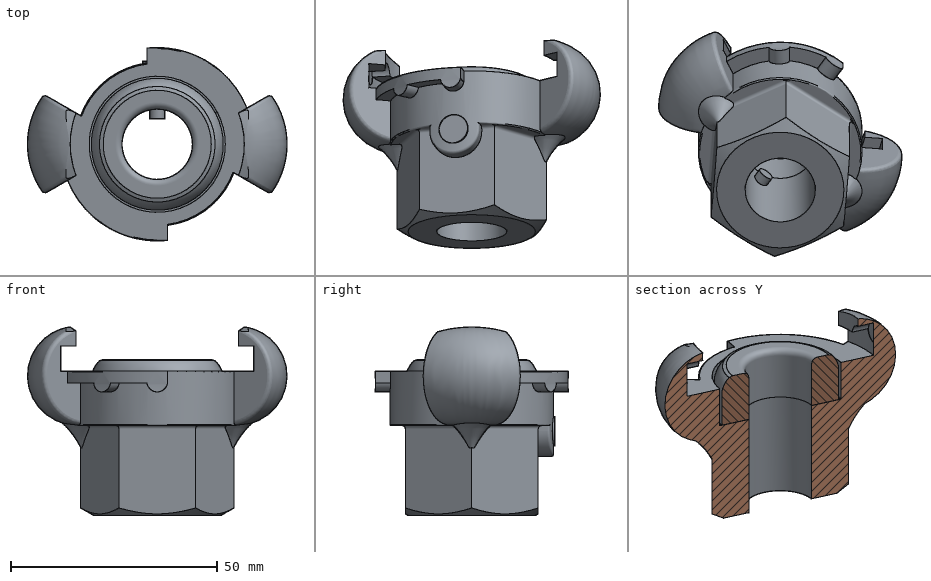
import cadquery as cq
import math


HEX_FLATS = 32.25
HEX_CHAMFER_BOTTOM_RADIUS = 15.45
HEX_CHAMFER_ANGLE = 30
BODY_RADIUS = 19.85
BODY_BOTTOM_Z = 21.8
BODY_EDGE_FILLET = 0.3
NECK_FILLET = 0.8
FLANGE_RADIUS = 23.465
FLANGE_TOP_Z = 35.0
FLANGE_THICKNESS = 2.9
FLANGE_END_ANGLE = 20
TOP_EDGE_FILLET = 0.25
FLANGE_STEP_X = 2.5
BORE_RADIUS = 17 / 2
SEAL_RECESS_RADIUS = 33.0 / 2
SEAL_FLOOR_Z = 25.2

BUMP_RADIUS = 2.5
BUMP_CENTRE_Z = 32.5
BUMP_ANGLES = (0, 35)

CLAW_REACH = 31.5
CLAW_PROFILE_RADIUS = 11.95
CLAW_CENTRE_Z = 33.9
CLAW_PLAN_RADIUS = 20.15
CLAW_HALF_ANGLE = 30
CLAW_APEX_X = 6.55
CLAW_EDGE_FILLET = 0.95
CLAW_TOP_Z = 45.7
CLAW_TOP_RADIUS = 30.25
HOOK_TIP_RADIUS = 21.1
SLOT_RADIUS = 25.3
SLOT_TOP_Z = 41.1
DETENT_GROOVE_RADIUS = 2.5

WEB_AXIS_X = 17.8
WEB_BOTTOM_Z = 16.05
WEB_BOTTOM_RADIUS = 0.55
WEB_WAIST_Z = 19.3
WEB_WAIST_RADIUS = 2.4
WEB_TOP_Z = 23.0
WEB_TOP_RADIUS = 5.9

BOSS_RADIUS = 6.2
BOSS_CENTRE_Z = 20.5
BOSS_EDGE_FILLET = 0.55
PLUG_RADIUS = 7.1 / 2
PLUG_OUTER_Y = 20.15
PLUG_INNER_Y = HEX_FLATS / 2
PIN_RADIUS = 3.7 / 2
PIN_TIP_Y = 6.2

SEAL_TOP_Z = 37.85
SEAL_RADIUS = 16.0
SEAL_SHOULDER_Z = 34.0
SEAL_CROWN_RADIUS = 28.0 / 2
SEAL_CROWN_Z = 37.55
SEAL_FACE_RADIUS = 13.1
SEAL_BORE_FILLET = 1.6


def z_cylinder(radius, bottom, top):
    return cq.Workplane("XY").workplane(offset=bottom).circle(radius).extrude(top - bottom)


def y_cylinder(radius, start_y, end_y):
    plane = cq.Plane(origin=(0, start_y, BOSS_CENTRE_Z), xDir=(1, 0, 0), normal=(0, 1, 0))
    return cq.Workplane(plane).circle(radius).extrude(end_y - start_y)


def half_turn(shape):
    return shape.rotate((0, 0, 0), (0, 0, 1), 180)


def make_hexagon():
    """Hexagon chamfered at the bottom; each flat flares out in a fillet below the body."""
    half = HEX_FLATS / 2
    fillet_z = BODY_BOTTOM_Z - NECK_FILLET
    slab = (
        cq.Workplane("YZ")
        .moveTo(half, 0)
        .lineTo(half, fillet_z)
        .radiusArc((half + NECK_FILLET, BODY_BOTTOM_Z), NECK_FILLET)
        .lineTo(-half - NECK_FILLET, BODY_BOTTOM_Z)
        .radiusArc((-half, fillet_z), NECK_FILLET)
        .lineTo(-half, 0)
        .close()
        .extrude(2 * HEX_FLATS, both=True)
    )
    rim_radius = BODY_RADIUS - 2 * BODY_EDGE_FILLET
    chamfer_height = (rim_radius - HEX_CHAMFER_BOTTOM_RADIUS) * math.tan(math.radians(HEX_CHAMFER_ANGLE))
    hexagon = (
        cq.Workplane("XZ")
        .polyline([
            (0, 0),
            (HEX_CHAMFER_BOTTOM_RADIUS, 0),
            (rim_radius, chamfer_height),
            (rim_radius, BODY_BOTTOM_Z),
            (0, BODY_BOTTOM_Z),
        ])
        .close()
        .revolve()
    )
    for angle in (0, 60, 120):
        hexagon = hexagon.intersect(slab.rotate((0, 0, 0), (0, 0, 1), angle))
    return hexagon


def make_body():
    body = z_cylinder(BODY_RADIUS, BODY_BOTTOM_Z, FLANGE_TOP_Z)
    body = body.faces("<Z").edges().fillet(BODY_EDGE_FILLET)
    body = body.faces(">Z").edges().fillet(TOP_EDGE_FILLET)
    return body.union(make_hexagon())


def make_flange_half():
    """Flange sector on the -Y side, from its step face round to the -X claw, with bumps."""
    end_angle = math.radians(180 + FLANGE_END_ANGLE)
    far = 2 * FLANGE_RADIUS
    sector = (
        cq.Workplane("XY")
        .polyline([
            (0, 0),
            (FLANGE_STEP_X, 0),
            (FLANGE_STEP_X, -far),
            (-far, -far),
            (far * math.cos(end_angle), far * math.sin(end_angle)),
        ])
        .close()
        .extrude(FLANGE_TOP_Z)
    )
    flange = z_cylinder(far, FLANGE_TOP_Z - FLANGE_THICKNESS, FLANGE_TOP_Z)
    for angle in BUMP_ANGLES:
        bump = (
            cq.Workplane("XZ", origin=(0, 0, BUMP_CENTRE_Z))
            .circle(BUMP_RADIUS)
            .extrude(far)
            .rotate((0, 0, 0), (0, 0, 1), -angle)
        )
        flange = flange.union(bump)
    outline = z_cylinder(FLANGE_RADIUS, 0, FLANGE_TOP_Z).cut(z_cylinder(BODY_RADIUS - 0.6, 0, FLANGE_TOP_Z))
    flange = flange.intersect(sector).intersect(outline)
    return flange.faces(">Z").edges("%CIRCLE").edges("<Y").fillet(TOP_EDGE_FILLET)


def make_claw():
    """Claw on the +X side: a barrel-shaped lug with a hook at its top."""
    axis_x = CLAW_REACH - CLAW_PLAN_RADIUS
    arc_centre = CLAW_REACH - CLAW_PROFILE_RADIUS - axis_x
    low = CLAW_CENTRE_Z - CLAW_PROFILE_RADIUS
    high = CLAW_CENTRE_Z + CLAW_PROFILE_RADIUS
    barrel = (
        cq.Workplane("XZ", origin=(axis_x, 0, 0))
        .moveTo(0, low)
        .lineTo(arc_centre, low)
        .threePointArc((CLAW_PLAN_RADIUS, CLAW_CENTRE_Z), (arc_centre, high))
        .lineTo(0, high)
        .close()
        .revolve(360, (0, 0, 0), (0, 1, 0))
    )
    length = CLAW_REACH
    half_width = length * math.tan(math.radians(CLAW_HALF_ANGLE))
    wedge = (
        cq.Workplane("XY", origin=(CLAW_APEX_X, 0, 0))
        .polyline([(0, 0), (length, -half_width), (length, half_width)])
        .close()
        .extrude(2 * high)
    )
    claw = barrel.intersect(wedge)
    rounded = cq.selectors.BoxSelector((22.05, -18.9, 0), (37.8, 18.9, 63))
    claw = claw.edges(rounded).fillet(CLAW_EDGE_FILLET)

    cap = (
        cq.Workplane("YZ", origin=(0, 0, CLAW_TOP_Z - CLAW_TOP_RADIUS))
        .circle(CLAW_TOP_RADIUS)
        .extrude(2 * CLAW_REACH)
    )
    claw = claw.intersect(cap)
    claw = claw.cut(z_cylinder(BODY_RADIUS - 0.6, 0, FLANGE_TOP_Z))
    claw = claw.cut(z_cylinder(HOOK_TIP_RADIUS, FLANGE_TOP_Z, 2 * high))
    claw = claw.cut(z_cylinder(SLOT_RADIUS, FLANGE_TOP_Z, SLOT_TOP_Z))
    groove = (
        cq.Workplane("YZ", origin=(0, 0, SLOT_TOP_Z))
        .circle(DETENT_GROOVE_RADIUS)
        .extrude(SLOT_RADIUS)
    )
    return claw.cut(groove)


def make_web():
    return (
        cq.Workplane("XZ", origin=(WEB_AXIS_X, 0, 0))
        .moveTo(0, WEB_BOTTOM_Z)
        .lineTo(WEB_BOTTOM_RADIUS, WEB_BOTTOM_Z)
        .threePointArc((WEB_WAIST_RADIUS, WEB_WAIST_Z), (WEB_TOP_RADIUS, WEB_TOP_Z))
        .lineTo(0, WEB_TOP_Z)
        .close()
        .revolve(360, (0, 0, 0), (0, 1, 0))
    )


def make_boss():
    """Boss with a round lower end and straight sides, curved to the body radius outside."""
    bottom = BOSS_CENTRE_Z - BOSS_RADIUS
    root_y = BORE_RADIUS + 3.15
    stem = cq.Workplane("XY").box(
        2 * BOSS_RADIUS, BODY_RADIUS, BODY_RADIUS, centered=(True, False, False)
    ).translate((0, root_y, BOSS_CENTRE_Z))
    boss = y_cylinder(BOSS_RADIUS, root_y, root_y + BODY_RADIUS).union(stem)
    boss = boss.intersect(z_cylinder(BODY_RADIUS, bottom - 0.6, FLANGE_TOP_Z - FLANGE_THICKNESS))
    rim = boss.faces(">Y").edges("not >Z")
    return rim.fillet(BOSS_EDGE_FILLET)


def make_housing():
    housing = make_body()
    for side in (make_flange_half(), make_claw(), make_web()):
        housing = housing.union(side).union(half_turn(side))
    housing = housing.union(make_boss())
    housing = housing.cut(z_cylinder(BORE_RADIUS, 0, SEAL_FLOOR_Z))
    housing = housing.cut(z_cylinder(SEAL_RECESS_RADIUS, SEAL_FLOOR_Z, FLANGE_TOP_Z))
    housing = housing.cut(y_cylinder(PIN_RADIUS, 0, PLUG_INNER_Y))
    return housing.cut(y_cylinder(PLUG_RADIUS, PLUG_INNER_Y, PLUG_OUTER_Y))


def make_seal():
    return (
        cq.Workplane("XZ")
        .moveTo(BORE_RADIUS, SEAL_FLOOR_Z)
        .lineTo(SEAL_RADIUS, SEAL_FLOOR_Z)
        .lineTo(SEAL_RADIUS, SEAL_SHOULDER_Z)
        .threePointArc((15.25, 36.0), (SEAL_CROWN_RADIUS, SEAL_CROWN_Z))
        .lineTo(SEAL_FACE_RADIUS, SEAL_TOP_Z)
        .lineTo(BORE_RADIUS + SEAL_BORE_FILLET, SEAL_TOP_Z)
        .radiusArc((BORE_RADIUS, SEAL_TOP_Z - SEAL_BORE_FILLET), -SEAL_BORE_FILLET)
        .close()
        .revolve(360, (0, 0, 0), (0, 1, 0))
    )


housing = make_housing()
seal = make_seal()
plug = y_cylinder(PLUG_RADIUS, PLUG_INNER_Y, PLUG_OUTER_Y)
pin = y_cylinder(PIN_RADIUS, PIN_TIP_Y, PLUG_INNER_Y)

result = cq.Compound.makeCompound([housing.val(), seal.val(), plug.val(), pin.val()])